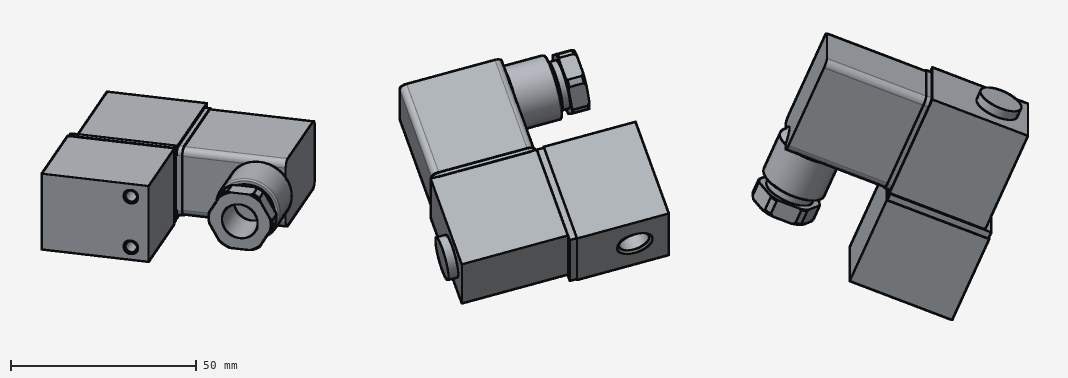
import cadquery as cq
import math


block_length = 30.0
block_depth = 26.0
block_height = 22.5

port_diameter = 8.57
port_mouth_diameter = 10.0
port_y = 9.65
port_depth = 12.0

mount_diameter = 3.24
mount_mouth_diameter = 4.0
mount_x = 25.0
mount_pitch = 15.0
mount_depth = 8.0

plate_inset = 0.2
plate_depth = 2.0

housing_length = 28.0
housing_depth = 30.0
housing_height = 21.2

boss_diameter = 12.0
boss_x = 11.1
overall_depth = 60.75

plug_center_y = 42.7
plug_depth = 29.0
plug_height = 20.0
plug_end_x = 60.5
gasket_thickness = 1.5
gasket_overhang = 0.2
plug_edge_radius = 2.0

gland_diameter = 18.0
gland_end_x = 62.2
gland_front_y = 16.2
gland_edge_radius = 0.5
gland_cone_half_angle = 32.0
gland_cone_length = 5.0
neck_diameter = 13.6
neck_chamfer = 0.75

nut_front_y = 8.4
nut_thickness = 5.0
nut_across_flats = 16.5
nut_chamfer_half_angle = 30.0
nut_front_chamfer_length = 0.6
nut_back_chamfer_length = 0.3
cable_hole_diameter = 10.0
cable_hole_depth = 12.0

plate_back_y = block_depth + plate_depth
housing_back_y = plate_back_y + housing_depth
plug_front_y = plug_center_y - plug_depth / 2
gland_x = gland_end_x - gland_diameter / 2
gland_radius = gland_diameter / 2
nut_back_y = nut_front_y + nut_thickness


def box_between(x_range, y_range, height):
    """Box spanning the X and Y ranges, centred on Z = 0."""
    length = x_range[1] - x_range[0]
    depth = y_range[1] - y_range[0]
    center = (sum(x_range) / 2, sum(y_range) / 2, 0)
    return cq.Workplane("XY").box(length, depth, height).translate(center)


def turned_along_y(center_x, profile):
    """Solid of revolution about the Y axis line at center_x; profile points are (radius, y)."""
    turned = cq.Workplane("XY").polyline(profile).close().revolve(360, (0, 0, 0), (0, 1, 0))
    return turned.translate((center_x, 0, 0))


def chamfered_hole(diameter, mouth_diameter, depth):
    """Cutter for a blind hole along +Y from the origin, with a 45 degree mouth chamfer."""
    chamfer = (mouth_diameter - diameter) / 2
    profile = [
        (0, 0),
        (mouth_diameter / 2, 0),
        (diameter / 2, chamfer),
        (diameter / 2, depth),
        (0, depth),
    ]
    return turned_along_y(0, profile)


def make_block():
    block = box_between((0, block_length), (0, block_depth), block_height)
    port = chamfered_hole(port_diameter, port_mouth_diameter, port_depth)
    block = block.cut(port.rotate((0, 0, 0), (0, 0, 1), -90).translate((0, port_y, 0)))
    for side in (-1, 1):
        hole = chamfered_hole(mount_diameter, mount_mouth_diameter, mount_depth)
        block = block.cut(hole.translate((mount_x, 0, side * mount_pitch / 2)))
    return block


def make_plate():
    x_range = (plate_inset, block_length - plate_inset)
    return box_between(x_range, (block_depth, plate_back_y), block_height - 2 * plate_inset)


def make_housing():
    x_range = (block_length - housing_length, block_length)
    housing = box_between(x_range, (plate_back_y, housing_back_y), housing_height)
    boss_radius = boss_diameter / 2
    boss_profile = [
        (0, housing_back_y),
        (boss_radius, housing_back_y),
        (boss_radius, overall_depth),
        (0, overall_depth),
    ]
    return housing.union(turned_along_y(boss_x, boss_profile))


def rounded_bar(x_range, overhang):
    """Plug section with rounded long edges, enlarged on all sides by the overhang."""
    half_depth = plug_depth / 2 + overhang
    y_range = (plug_center_y - half_depth, plug_center_y + half_depth)
    bar = box_between(x_range, y_range, plug_height + 2 * overhang)
    return bar.edges("|X").fillet(plug_edge_radius)


def make_plug():
    gasket_end_x = block_length + gasket_thickness
    gasket = rounded_bar((block_length, gasket_end_x), gasket_overhang)
    body = rounded_bar((gasket_end_x, plug_end_x), 0)
    return gasket.union(body)


def make_gland():
    cone_top_radius = gland_radius - gland_cone_length * math.tan(math.radians(gland_cone_half_angle))
    cone_top_y = plug_front_y + gland_cone_length
    barrel_profile = [
        (0, gland_front_y),
        (gland_radius, gland_front_y),
        (gland_radius, plug_front_y),
        (cone_top_radius, cone_top_y),
        (0, cone_top_y),
    ]
    barrel = turned_along_y(gland_x, barrel_profile).edges("<Y").fillet(gland_edge_radius)
    neck_radius = neck_diameter / 2
    neck_profile = [
        (0, nut_back_y),
        (neck_radius, nut_back_y),
        (neck_radius, gland_front_y - neck_chamfer),
        (neck_radius + neck_chamfer, gland_front_y),
        (0, gland_front_y),
    ]
    return barrel.union(turned_along_y(gland_x, neck_profile))


def make_nut():
    """Hexagon with flats facing +Z and -Z, its corners turned to the gland diameter."""
    across_corners = nut_across_flats / math.cos(math.radians(30))
    hexagon = cq.Workplane("XZ").polygon(6, across_corners).extrude(-nut_thickness)
    hexagon = hexagon.translate((gland_x, nut_front_y, 0))
    taper = math.tan(math.radians(nut_chamfer_half_angle))
    envelope_profile = [
        (0, nut_front_y),
        (gland_radius - nut_front_chamfer_length * taper, nut_front_y),
        (gland_radius, nut_front_y + nut_front_chamfer_length),
        (gland_radius, nut_back_y - nut_back_chamfer_length),
        (gland_radius - nut_back_chamfer_length * taper, nut_back_y),
        (0, nut_back_y),
    ]
    return hexagon.intersect(turned_along_y(gland_x, envelope_profile))


def make_cable_hole():
    radius = cable_hole_diameter / 2
    end_y = nut_front_y + cable_hole_depth
    profile = [(0, nut_front_y), (radius, nut_front_y), (radius, end_y), (0, end_y)]
    return turned_along_y(gland_x, profile)


result = make_block().union(make_plate()).union(make_housing())
result = result.union(make_plug()).union(make_gland()).union(make_nut())
result = result.cut(make_cable_hole())